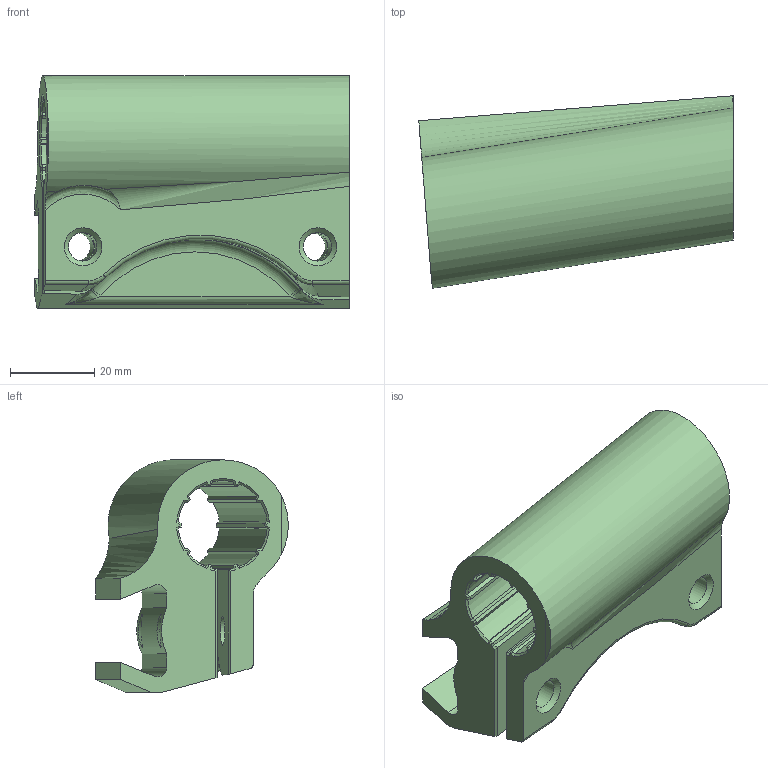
import cadquery as cq
import math


BODY_ANGLE = 4.55
TUBE_ANGLE = 9.05
SKEW = TUBE_ANGLE - BODY_ANGLE
FAR_END_X = 72.80
ROUGH_LENGTH = 80.0
TUBE_ROUGH_LENGTH = 100.0
ROUGH_START_X = -1.0
OVERRUN = 10.0
BIG = 200.0
TOLERANCE = 0.1

TUBE_RADIUS = 15.55
BORE_RADIUS = 10.6
RIB_COUNT = 10
RIB_TIP_RADIUS = 9.9
RIB_BASE_WIDTH = 1.8
RIB_TIP_WIDTH = 0.9
SLOT_WIDTH = 2.7
END_CHAMFER = 0.45
TUBE_END_FLAT_Y = -13.9

EAR_Y = -7.2
TOTAL_HEIGHT = 55.25
BOTTOM_Z = TUBE_RADIUS - TOTAL_HEIGHT
BOTTOM_SLOPE = 15.0
BOTTOM_FLAT_START_Y = 14.5
BOTTOM_FLAT_END_Y = 17.3
JAW_TIP_Y = 24.4
JAW_TOP_Z = -12.62
JAW_BOTTOM_Z = -36.65
CORE_Y = 10.0
EAR_TUBE_FILLET = 7.0

SCREW_Z = -25.1
MOUTH_HALF = 7.5
CAVITY_SLOPE = 22.5
CAVITY_WALL_Y = 13.4
CAVITY_CORNER_RADIUS = 2.2
BULGE_HALF = 5.47
BULGE_HEIGHT = 1.27

WEB_NEAR = ((15.5, -0.5), (17.9, -8.2), (JAW_TIP_Y, JAW_TOP_Z))
WEB_FAR_X = FAR_END_X + 2
WEB_FAR = ((21.2, -1.5), (22.2, -8.5), (JAW_TIP_Y, JAW_TOP_Z))

SCREW_CENTER_X = 37.0
SCREW_SPACING = 56.0
SCREW_DIAMETER = 6.8
SCREW_CHAMFER = 1.1
SPOTFACE_RADIUS = 14.6
SPOTFACE_FILLET = 2.1

ARCH_RADIUS = 32.4
ARCH_CENTER_Z = -55.7
ARCH_FLOOR_Y = 9.4
ARCH_FLOOR_FILLET = 3.0
ARCH_TOE_RADIUS = 5.5
FLOOR_EDGE_RADIUS = 2.0
EAR_EDGE_RADIUS = 1.0


def along_tube(shape):
    """Turn a shape built along +X onto the tube axis."""
    return shape.rotate((0, 0, 0), (0, 0, 1), SKEW)


def y_cylinder(x, z, radius, y_from, y_to):
    plane = cq.Plane(origin=(x, y_from, z), xDir=(1, 0, 0), normal=(0, 1, 0))
    return cq.Workplane(plane).circle(radius).extrude(y_to - y_from)


def bottom_z(y):
    return BOTTOM_Z + (BOTTOM_FLAT_START_Y - y) * math.tan(math.radians(BOTTOM_SLOPE))


def make_block():
    outline = [
        (EAR_Y, 0),
        (EAR_Y, bottom_z(EAR_Y)),
        (BOTTOM_FLAT_START_Y, BOTTOM_Z),
        (BOTTOM_FLAT_END_Y, BOTTOM_Z),
        (JAW_TIP_Y, JAW_BOTTOM_Z),
        (JAW_TIP_Y, JAW_TOP_Z),
        (CORE_Y, JAW_TOP_Z),
        (CORE_Y, 0),
    ]
    return cq.Workplane("YZ", origin=(ROUGH_START_X, 0, 0)).polyline(outline).close().extrude(ROUGH_LENGTH)


def round_edge(body, point, radius):
    """Fillet the edge nearest to a point."""
    return body.edges(cq.selectors.NearestToPointSelector(point)).fillet(radius)


def cut_arch(block):
    recess = y_cylinder(SCREW_CENTER_X, ARCH_CENTER_Z, ARCH_RADIUS, ARCH_FLOOR_Y, EAR_Y - OVERRUN)
    arch_top = ARCH_CENTER_Z + ARCH_RADIUS
    middle_y = (EAR_Y + ARCH_FLOOR_Y) / 2
    reach = math.sqrt(ARCH_RADIUS**2 - (bottom_z(middle_y) - ARCH_CENTER_Z) ** 2)

    body = round_edge(
        block.cut(recess), (SCREW_CENTER_X, ARCH_FLOOR_Y, bottom_z(ARCH_FLOOR_Y)), FLOOR_EDGE_RADIUS
    )
    for toe_x in (SCREW_CENTER_X - reach, SCREW_CENTER_X + reach):
        body = round_edge(body, (toe_x, middle_y, bottom_z(middle_y)), ARCH_TOE_RADIUS)
    body = round_edge(body, (SCREW_CENTER_X, ARCH_FLOOR_Y, arch_top), ARCH_FLOOR_FILLET)
    return round_edge(body, (SCREW_CENTER_X, EAR_Y, arch_top), EAR_EDGE_RADIUS)


def make_cavity():
    deep_half = MOUTH_HALF + (JAW_TIP_Y - CAVITY_WALL_Y) * math.tan(math.radians(CAVITY_SLOPE))
    outer_y = JAW_TIP_Y + OVERRUN
    outline = [
        (outer_y, SCREW_Z + MOUTH_HALF),
        (JAW_TIP_Y, SCREW_Z + MOUTH_HALF),
        (CAVITY_WALL_Y, SCREW_Z + deep_half),
        (CAVITY_WALL_Y, SCREW_Z - deep_half),
        (JAW_TIP_Y, SCREW_Z - MOUTH_HALF),
        (outer_y, SCREW_Z - MOUTH_HALF),
    ]
    cavity = cq.Workplane("YZ", origin=(ROUGH_START_X, 0, 0)).polyline(outline).close().extrude(ROUGH_LENGTH)
    cavity = cavity.edges("|X and <Y").fillet(CAVITY_CORNER_RADIUS)
    bulge = (
        cq.Workplane("YZ", origin=(ROUGH_START_X, 0, 0))
        .moveTo(CAVITY_WALL_Y, SCREW_Z - BULGE_HALF)
        .threePointArc((CAVITY_WALL_Y + BULGE_HEIGHT, SCREW_Z), (CAVITY_WALL_Y, SCREW_Z + BULGE_HALF))
        .close()
        .extrude(ROUGH_LENGTH)
    )
    return cavity.cut(bulge)


def web_section(x, arc):
    """Wire of the web's cross-section at one end."""
    start, middle, tip = (cq.Vector(x, y, z) for y, z in arc)
    lower = cq.Vector(x, CORE_Y, JAW_TOP_Z)
    upper = cq.Vector(x, CORE_Y, start.z)
    return cq.Wire.assembleEdges([
        cq.Edge.makeThreePointArc(start, middle, tip),
        cq.Edge.makeLine(tip, lower),
        cq.Edge.makeLine(lower, upper),
        cq.Edge.makeLine(upper, start),
    ])


def make_web():
    sections = [web_section(ROUGH_START_X, WEB_NEAR), web_section(WEB_FAR_X, WEB_FAR)]
    return cq.Workplane(obj=cq.Solid.makeLoft(sections, True))


def make_tube():
    tube = cq.Workplane("YZ", origin=(-OVERRUN, 0, 0)).circle(TUBE_RADIUS)
    return along_tube(tube.extrude(TUBE_ROUGH_LENGTH))


def near_end_trim():
    behind = cq.Workplane("XY").box(BIG, BIG, BIG).translate((-BIG / 2, 0, 0))
    beside_bend = cq.Workplane("XY").box(BIG, BIG, BIG).translate((0, -BIG / 2, 0))
    square_to_tube = along_tube(behind).intersect(beside_bend)
    return behind.union(square_to_tube.translate((0, TUBE_END_FLAT_Y, 0)))


def make_bore():
    start = (-OVERRUN, 0, 0)
    bore = cq.Workplane("YZ", origin=start).circle(BORE_RADIUS).extrude(TUBE_ROUGH_LENGTH)
    root = BORE_RADIUS + RIB_TIP_WIDTH
    outline = [
        (root, -RIB_BASE_WIDTH / 2),
        (BORE_RADIUS, -RIB_BASE_WIDTH / 2),
        (RIB_TIP_RADIUS, -RIB_TIP_WIDTH / 2),
        (RIB_TIP_RADIUS, RIB_TIP_WIDTH / 2),
        (BORE_RADIUS, RIB_BASE_WIDTH / 2),
        (root, RIB_BASE_WIDTH / 2),
    ]
    rib = cq.Workplane("YZ", origin=start).polyline(outline).close().extrude(TUBE_ROUGH_LENGTH)
    for i in range(RIB_COUNT):
        bore = bore.cut(rib.rotate((0, 0, 0), (1, 0, 0), 360 / RIB_COUNT * i))
    slot = (
        cq.Workplane("XY")
        .box(TUBE_ROUGH_LENGTH, SLOT_WIDTH, BIG, centered=(False, True, False))
        .translate((-OVERRUN, 0, -BIG))
    )
    return along_tube(bore.union(slot))


def chamfer_bore_rim(solid):
    """Chamfer the bore, rib and slot edges of the near end."""
    reach = BORE_RADIUS + TOLERANCE
    around_bore = cq.selectors.BoxSelector((-TOLERANCE, -reach, -reach), (TOLERANCE, reach, reach))
    beside_slot = cq.selectors.BoxSelector((-TOLERANCE, -SLOT_WIDTH, -BIG), (TOLERANCE, SLOT_WIDTH, -reach))
    return solid.edges(around_bore + beside_slot).chamfer(END_CHAMFER)


def screw_hole(x):
    exit_y = CAVITY_WALL_Y + BULGE_HEIGHT
    radius = SCREW_DIAMETER / 2
    profile = [
        (0, EAR_Y - OVERRUN),
        (radius + SCREW_CHAMFER, EAR_Y - OVERRUN),
        (radius + SCREW_CHAMFER, EAR_Y),
        (radius, EAR_Y + SCREW_CHAMFER),
        (radius, exit_y - SCREW_CHAMFER),
        (radius + SCREW_CHAMFER, exit_y),
        (0, exit_y),
    ]
    hole = cq.Workplane("XY").polyline(profile).close().revolve(360, (0, 0), (0, 1))
    return hole.translate((x, 0, SCREW_Z))


def spotface(x):
    cutter = y_cylinder(x, SCREW_Z, SPOTFACE_RADIUS, EAR_Y, EAR_Y - 2 * OVERRUN)
    return cutter.faces(">Y").edges().fillet(SPOTFACE_FILLET)


def round_ear_to_tube(solid):
    """Fillet the long edge where the ear's face runs into the tube."""
    junction = cq.selectors.BoxSelector(
        (0, EAR_Y - TOLERANCE, -TUBE_RADIUS), (ROUGH_LENGTH, EAR_Y + TOLERANCE, 0)
    )
    return solid.edges(junction).fillet(EAR_TUBE_FILLET)


def far_end_trim():
    return cq.Workplane("XY").box(BIG, BIG, BIG).translate((FAR_END_X + BIG / 2, 0, 0))


body = make_block().cut(make_cavity()).union(make_web()).union(make_tube())
body = cut_arch(round_ear_to_tube(body))
body = chamfer_bore_rim(body.cut(near_end_trim()).cut(make_bore()))
for side in (-1, 1):
    screw_x = SCREW_CENTER_X + side * SCREW_SPACING / 2
    body = body.cut(spotface(screw_x)).cut(screw_hole(screw_x))
result = body.rotate((0, 0, 0), (0, 0, 1), BODY_ANGLE).cut(far_end_trim())